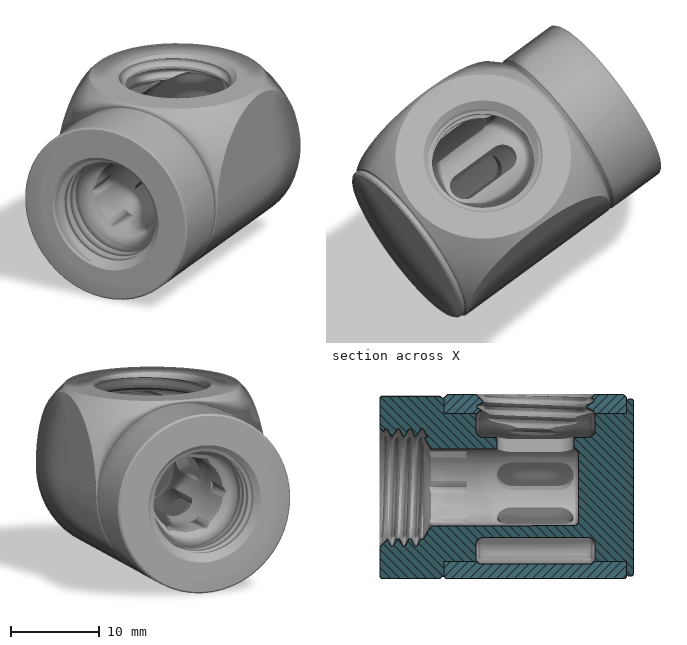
import cadquery as cq
import math


body_radius = 10.3
port_face_height = 10.5
rounding_sphere_radius = 14.41
bore_radius = 8.3
chamber_radius = 8.6
chamber_half_length = 6.3
chamber_cone_length = 0.31
block_half_length = math.sqrt(rounding_sphere_radius**2 - body_radius**2)

thread_pitch = 1.35
thread_minor_radius = 5.78
thread_major_radius = 6.58
thread_flank_angle = 27.5
thread_root_flat = 0.23
mouth_radius = 6.72
thread_overlap = 0.11
thread_start_depth = 0.11
first_turn_depth = 1.05
turns_below_first = 3
mouth_depth = mouth_radius - thread_minor_radius

total_length = 28.6
rear_flange_radius = 10.0
rear_flange_thickness = 0.77
edge_chamfer = 0.2
head_spacer_thickness = 0.23
waist_radius = 5.65
collar_face = 6.7
waist_flare_length = 0.85
waist_flare_height = 0.6
waist_flare_radius = (waist_flare_length**2 + waist_flare_height**2) / (2 * waist_flare_height)
rear_end = body_radius + rear_flange_thickness
front_end = rear_end - total_length

socket_depth = 4.92
cone_half_angle = 59.0
passage_radius = 4.3
passage_floor = 4.8
floor_chamfer = 0.25
hex_across_flats = 8.0
hex_depth = 4.0
cone_length = (thread_minor_radius - passage_radius) / math.tan(math.radians(cone_half_angle))
cone_start = front_end + socket_depth
passage_start = cone_start + cone_length

slot_count = 5
slot_width = 3.2
slot_length = 8.65


def revolve_about_y(profile):
    """Solid of revolution about Y of a closed (radius, y) profile."""
    return profile.close().revolve(360, (0, 0, 0), (0, 1, 0))


def thread_cutter(depth):
    """Right-hand helical groove about Z from z = -depth up to just below the mouth at z = 0."""
    flank_spread = math.tan(math.radians(thread_flank_angle))
    inner_radius = thread_minor_radius - thread_overlap
    half_root = thread_root_flat / 2
    half_base = half_root + (thread_major_radius - inner_radius) * flank_spread
    helix = cq.Wire.makeHelix(thread_pitch, depth - thread_start_depth, thread_minor_radius)
    groove = (
        cq.Workplane("XZ")
        .polyline([
            (inner_radius, -half_base),
            (thread_major_radius, -half_root),
            (thread_major_radius, half_root),
            (inner_radius, half_base),
        ])
        .close()
        .sweep(cq.Workplane(obj=helix), isFrenet=True)
    )
    return groove.translate((0, 0, -depth))


def threaded_hole(depth):
    """Volume of a threaded hole about Z: mouth at z = 0, flat bottom at z = -depth."""
    core = (
        cq.Workplane("XY", origin=(0, 0, -depth))
        .circle(thread_minor_radius)
        .extrude(depth + 2 * thread_pitch)
    )
    groove = thread_cutter(first_turn_depth + turns_below_first * thread_pitch)
    below_mouth = (
        cq.Workplane("XY")
        .circle(body_radius)
        .extrude(-2 * depth)
    )
    lead_in = (
        cq.Workplane("XZ")
        .polyline([(0, 0), (mouth_radius, 0), (thread_minor_radius, -mouth_depth), (0, -mouth_depth)])
        .close()
        .revolve(360, (0, 0, 0), (0, 1, 0))
    )
    return core.union(groove).intersect(below_mouth).union(lead_in)


def bolt_bore():
    """Through bore along Y: a wide chamber between two bearing bores."""
    cone_end = chamber_half_length + chamber_cone_length
    profile = (
        cq.Workplane("XY")
        .moveTo(0, -body_radius)
        .lineTo(bore_radius, -body_radius)
        .lineTo(bore_radius, -cone_end)
        .lineTo(chamber_radius, -chamber_half_length)
        .lineTo(chamber_radius, chamber_half_length)
        .lineTo(bore_radius, cone_end)
        .lineTo(bore_radius, body_radius)
        .lineTo(0, body_radius)
    )
    return revolve_about_y(profile)


def make_housing():
    outline = (
        cq.Workplane("XZ")
        .moveTo(-body_radius, 0)
        .lineTo(-body_radius, port_face_height)
        .lineTo(body_radius, port_face_height)
        .lineTo(body_radius, 0)
        .threePointArc((0, -body_radius), (-body_radius, 0))
        .close()
    )
    block = outline.extrude(block_half_length, both=True)
    block = block.intersect(cq.Workplane("XY").sphere(rounding_sphere_radius))
    ends = (
        cq.Workplane("XZ")
        .circle(body_radius)
        .extrude(body_radius, both=True)
        .faces("<Y or >Y")
        .chamfer(body_radius - block_half_length)
    )
    block = block.union(ends)

    port = threaded_hole(port_face_height).translate((0, 0, port_face_height))
    return block.cut(port).cut(bolt_bore())


def bolt_blank():
    """Outside of the bolt: head, two collars with the waist between them, and rear flange."""
    head_back = -body_radius - head_spacer_thickness
    head_rim = body_radius - edge_chamfer
    flange_rim = rear_flange_radius - edge_chamfer
    flare_rim = waist_radius + waist_flare_height
    waist_half_length = collar_face - waist_flare_length
    profile = (
        cq.Workplane("XY")
        .moveTo(0, front_end)
        .lineTo(head_rim, front_end)
        .lineTo(body_radius, front_end + edge_chamfer)
        .lineTo(body_radius, head_back - edge_chamfer)
        .lineTo(head_rim, head_back)
        .lineTo(head_rim, -body_radius)
        .lineTo(bore_radius, -body_radius)
        .lineTo(bore_radius, -collar_face)
        .lineTo(flare_rim, -collar_face)
        .radiusArc((waist_radius, -waist_half_length), waist_flare_radius)
        .lineTo(waist_radius, waist_half_length)
        .radiusArc((flare_rim, collar_face), waist_flare_radius)
        .lineTo(bore_radius, collar_face)
        .lineTo(bore_radius, body_radius)
        .lineTo(flange_rim, body_radius)
        .lineTo(rear_flange_radius, body_radius + edge_chamfer)
        .lineTo(rear_flange_radius, rear_end - edge_chamfer)
        .lineTo(flange_rim, rear_end)
        .lineTo(0, rear_end)
    )
    return revolve_about_y(profile)


def bolt_passage():
    """Blind hole beyond the threaded socket: drill cone, plain passage and chamfered floor."""
    profile = (
        cq.Workplane("XY")
        .moveTo(0, cone_start)
        .lineTo(thread_minor_radius, cone_start)
        .lineTo(passage_radius, passage_start)
        .lineTo(passage_radius, passage_floor - floor_chamfer)
        .lineTo(passage_radius - floor_chamfer, passage_floor)
        .lineTo(0, passage_floor)
    )
    return revolve_about_y(profile)


def hex_socket():
    """Hexagon with corners on the X axis; only its corners reach beyond the passage wall."""
    across_corners = hex_across_flats / math.cos(math.pi / 6)
    hex_end = passage_start + hex_depth
    return (
        cq.Workplane("XZ", origin=(0, hex_end, 0))
        .polygon(6, across_corners)
        .extrude(hex_end - cone_start)
    )


def make_bolt():
    socket = (
        threaded_hole(socket_depth)
        .rotate((0, 0, 0), (1, 0, 0), 90)
        .translate((0, front_end, 0))
    )
    bolt = bolt_blank().cut(socket).cut(bolt_passage()).cut(hex_socket())
    slot = cq.Workplane("XY").slot2D(slot_length, slot_width, 90).extrude(bore_radius)
    for index in range(slot_count):
        bolt = bolt.cut(slot.rotate((0, 0, 0), (0, 1, 0), index * 360 / slot_count))
    return bolt


housing = make_housing()
bolt = make_bolt()

result = cq.Compound.makeCompound([housing.solids().val(), bolt.solids().val()])